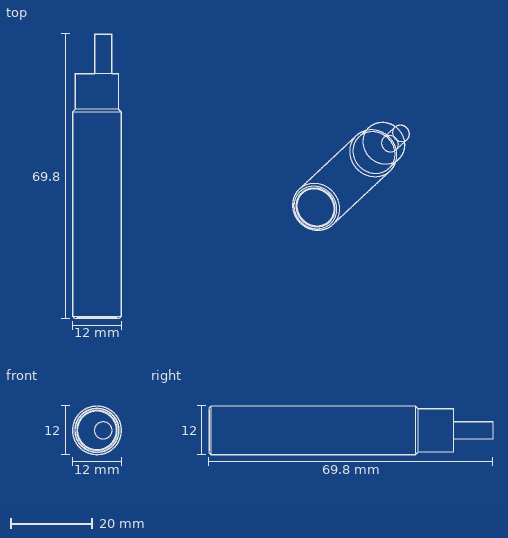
import cadquery as cq

total_length = 69.8

barrel_diameter = 12.0
barrel_length = 51.4
front_chamfer = 0.55

neck_diameter = 10.7
neck_length = 8.7

rear_chamfer = (barrel_diameter - neck_diameter) / 2

cable_diameter = 4.25
cable_offset = 1.55
cable_length = total_length - barrel_length - neck_length

groove_outer_diameter = 9.9
groove_width = 0.2
groove_depth = 0.2


def cylinder_along_y(diameter, start, length, x=0.0):
    """Solid cylinder parallel to Y, from Y = start to Y = start + length."""
    base = cq.Plane(origin=(x, start, 0), xDir=(1, 0, 0), normal=(0, 1, 0))
    return cq.Workplane(base).circle(diameter / 2).extrude(length)


def face_groove():
    """Ring removed from the sensing face."""
    inner_diameter = groove_outer_diameter - 2 * groove_width
    outer = cylinder_along_y(groove_outer_diameter, 0, groove_depth)
    return outer.cut(cylinder_along_y(inner_diameter, 0, groove_depth))


barrel = cylinder_along_y(barrel_diameter, 0, barrel_length)
barrel = barrel.faces("<Y").edges().chamfer(front_chamfer)
barrel = barrel.faces(">Y").edges().chamfer(rear_chamfer)
neck = cylinder_along_y(neck_diameter, barrel_length, neck_length)
cable = cylinder_along_y(cable_diameter, barrel_length + neck_length, cable_length, cable_offset)

result = barrel.union(neck).union(cable).cut(face_groove())